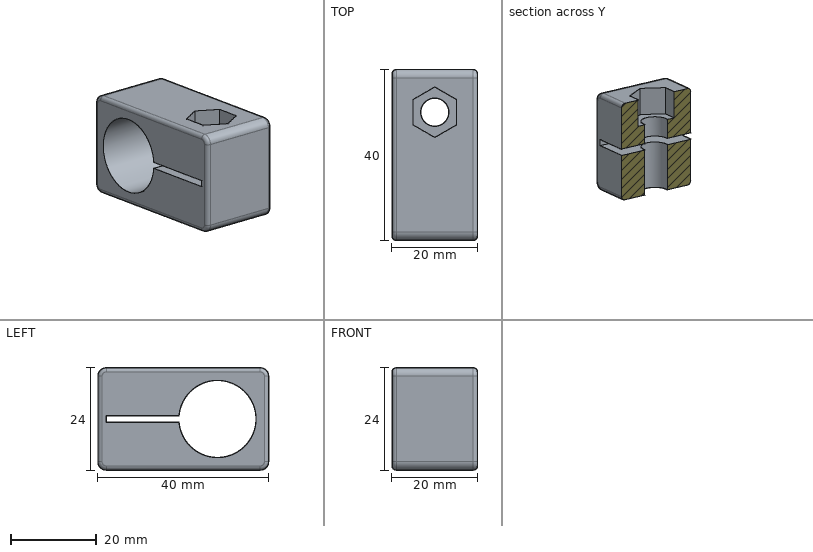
import cadquery as cq

width = 20.0
length = 40.0
height = 24.0
corner_radius = 2.0
side_edge_radius = 1.0

bore_diameter = 18.0
bore_y = -8.0
slit_height = 1.5
slit_end_y = length / 2 - corner_radius

screw_y = 10.0
screw_diameter = 6.5
nut_across_corners = 11.8
nut_depth = 6.5


def make_block():
    """Block rounded along X, then around both X faces."""
    block = cq.Workplane("XY").box(width, length, height)
    block = block.edges("|X").fillet(corner_radius)
    return block.faces("<X or >X").edges().fillet(side_edge_radius)


def make_bore():
    return cq.Workplane("YZ").center(bore_y, 0).circle(bore_diameter / 2).extrude(width / 2, both=True)


def make_slit():
    slit_length = slit_end_y - bore_y
    return cq.Workplane("XY").box(width, slit_length, slit_height).translate((0, bore_y + slit_length / 2, 0))


def make_screw_hole():
    return cq.Workplane("XY").center(0, screw_y).circle(screw_diameter / 2).extrude(height / 2, both=True)


def make_nut_pocket():
    """Hexagonal pocket in the top face with two corners on the Y axis."""
    pocket = cq.Workplane("XY").polygon(6, nut_across_corners).extrude(nut_depth)
    pocket = pocket.rotate((0, 0, 0), (0, 0, 1), 90)
    return pocket.translate((0, screw_y, height / 2 - nut_depth))


result = make_block().cut(make_bore()).cut(make_slit()).cut(make_screw_hole()).cut(make_nut_pocket())